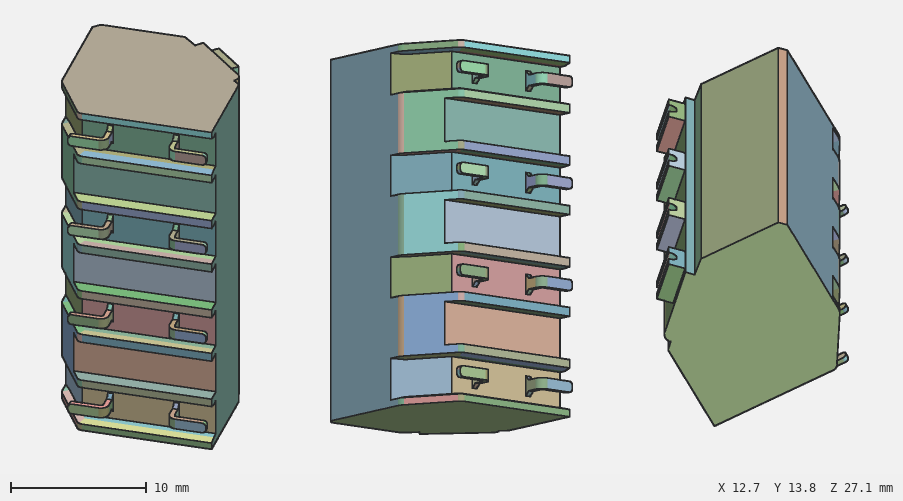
import math

import cadquery as cq

width = 12.7
depth = 12.83
height = 27.06
back_corner_chamfer = 0.5
slant_angle = math.radians(59)
slant_foot_x = 2.47
slant_top_y = slant_foot_x * math.tan(slant_angle)
slant_foot_radius = 0.5
slant_top_radius = 1.0

slope_sum = 20.87
slope_start_x = 8.48
slope_end_x = 12.1
back_edge_end_x = 6.95
notch_point = (8.0, 11.87)
lip_crest = (12.4, 8.2)
lip_root = (12.2, 7.75)
side_edge_top_y = 7.23

pole_count = 4
pitch = 7.62
floor_y = 1.14

slant_floor_top_y = 5.24
slant_pocket_depth = (slant_floor_top_y - slant_top_y) * math.cos(slant_angle)
end_pocket_width = 3.12
end_pocket_flare = 0.17
inner_pocket_width = 3.04
inner_pocket_flare = 0.05
clearance = 1.0

recess_width = 3.24

leg_thickness = 0.41
leg_width = 0.82
leg_base_width = 1.5
leg_flare = 0.34
leg_bottom_y = -0.63
leg_bend_radius = 0.62
leg_embed = 0.5
leg_tip_rounding = 0.28
left_leg_inner_x = 4.83
left_leg_tip_x = 1.86
leg_centre_x = 7.15

button_length = 3.04
button_rise = 1.25
button_width = 2.66
button_centre_x = 9.64
button_embed = 0.5
groove_radius = 0.49
groove_depth = 0.62


def pole_levels():
    return [pitch * (i - (pole_count - 1) / 2) for i in range(pole_count)]


def housing():
    outline = (
        cq.Workplane("XY", origin=(0, 0, -height / 2))
        .moveTo(slant_foot_x, 0)
        .lineTo(width, 0)
        .lineTo(width, side_edge_top_y)
        .lineTo(*lip_root)
        .threePointArc(lip_crest, (slope_end_x, slope_sum - slope_end_x))
        .lineTo(slope_start_x, slope_sum - slope_start_x)
        .lineTo(*notch_point)
        .lineTo(back_edge_end_x, depth)
        .lineTo(back_corner_chamfer, depth)
        .lineTo(0, depth - back_corner_chamfer)
        .lineTo(0, slant_top_y)
        .close()
    )
    body = outline.extrude(height)
    foot_edge = cq.selectors.NearestToPointSelector((slant_foot_x, 0, 0))
    body = body.edges(foot_edge).fillet(slant_foot_radius)
    top_edge = cq.selectors.NearestToPointSelector((0, slant_top_y, 0))
    return body.edges(top_edge).fillet(slant_top_radius)


def rail_rim(wall_side, mouth, throat):
    """Bevelled rim left standing on one pocket wall, from the outer profile to one inset all round."""
    inset = slant_pocket_depth
    slope = math.tan(slant_angle)
    right = width + clearance
    outer = [(slant_foot_x, 0), (right, 0), (right, depth), (0, depth), (0, slant_top_y)]
    inner = [
        ((slant_floor_top_y - inset) / slope, inset),
        (right, inset),
        (right, depth),
        (inset, depth),
        (inset, slant_floor_top_y - inset * slope),
    ]
    return (
        cq.Workplane("XY", origin=(0, 0, wall_side * mouth))
        .polyline(outer)
        .close()
        .workplane(offset=wall_side * (throat - mouth))
        .polyline(inner)
        .close()
        .loft(ruled=True)
    )


def pocket(level, mouth_width, flare):
    """Pocket with a slanted and a front floor, its walls bevelled around the rim."""
    mouth = mouth_width / 2
    throat = mouth - flare
    slope = math.tan(slant_angle)
    outside = (
        cq.Workplane("XY")
        .polyline(
            [
                (-clearance, slant_floor_top_y + clearance * slope),
                ((slant_floor_top_y - floor_y) / slope, floor_y),
                (width + clearance, floor_y),
                (width + clearance, -clearance),
                (-clearance, -clearance),
            ]
        )
        .close()
        .extrude(mouth, both=True)
    )
    for wall_side in (-1, 1):
        outside = outside.cut(rail_rim(wall_side, mouth, throat))
    return outside.translate((0, 0, level))


def recess(level):
    block = cq.Workplane("XY").box(
        width + 2 * clearance, floor_y + clearance, recess_width, centered=(False, False, True)
    )
    return block.translate((-clearance, -clearance, level))


def left_leg(level):
    """L-shaped strip leaving the pocket floor and bending out towards -X."""
    outer_x = left_leg_inner_x - leg_thickness
    root_y = floor_y + leg_embed
    foot_top_y = leg_bottom_y + leg_thickness
    bend_centre = (left_leg_inner_x - leg_bend_radius, leg_bottom_y + leg_bend_radius)
    inner_radius = leg_bend_radius - leg_thickness
    diagonal = math.cos(math.radians(45))
    strip = (
        cq.Workplane("XY", origin=(0, 0, level - leg_base_width / 2))
        .moveTo(left_leg_inner_x, root_y)
        .lineTo(left_leg_inner_x, bend_centre[1])
        .threePointArc(
            (bend_centre[0] + leg_bend_radius * diagonal, bend_centre[1] - leg_bend_radius * diagonal),
            (bend_centre[0], leg_bottom_y),
        )
        .lineTo(left_leg_tip_x, leg_bottom_y)
        .lineTo(left_leg_tip_x, foot_top_y)
        .lineTo(bend_centre[0], foot_top_y)
        .threePointArc(
            (bend_centre[0] + inner_radius * diagonal, bend_centre[1] - inner_radius * diagonal),
            (outer_x, bend_centre[1]),
        )
        .lineTo(outer_x, root_y)
        .close()
        .extrude(leg_base_width)
    )

    half = leg_width / 2
    half_base = leg_base_width / 2
    flare_end_y = floor_y - leg_flare
    width_outline = (
        cq.Workplane("YZ", origin=(0, 0, level))
        .polyline(
            [
                (leg_bottom_y, -half),
                (flare_end_y, -half),
                (floor_y, -half_base),
                (root_y, -half_base),
                (root_y, half_base),
                (floor_y, half_base),
                (flare_end_y, half),
                (leg_bottom_y, half),
            ]
        )
        .close()
        .extrude(width)
    )
    return strip.intersect(width_outline).edges("|Y and <X").fillet(leg_tip_rounding)


def leg_pair(level):
    left = left_leg(level)
    right = left.mirror("YZ", (leg_centre_x, 0, 0))
    return left.union(right)


def button(level):
    """Block standing on the sloping face, with a round-bottomed groove along its top."""
    slope_plane = cq.Plane(
        origin=(button_centre_x, slope_sum - button_centre_x, level), xDir=(1, -1, 0), normal=(1, 1, 0)
    )
    block = (
        cq.Workplane(slope_plane)
        .workplane(offset=-button_embed)
        .rect(button_length, button_width)
        .extrude(button_rise + button_embed)
    )
    axis_height = button_rise - groove_depth + groove_radius
    groove_round = cq.Workplane("YZ").circle(groove_radius).extrude(button_length / 2, both=True)
    groove_sides = cq.Workplane("XY").box(
        button_length, 2 * groove_radius, button_rise, centered=(True, True, False)
    )
    groove = groove_round.union(groove_sides).translate((0, 0, axis_height))
    return block.cut(cq.Workplane(groove.val().moved(cq.Location(slope_plane))))


levels = pole_levels()
result = housing()
for level in levels:
    if level in (levels[0], levels[-1]):
        result = result.cut(pocket(level, end_pocket_width, end_pocket_flare))
    else:
        result = result.cut(pocket(level, inner_pocket_width, inner_pocket_flare))
for level in levels[:-1]:
    result = result.cut(recess(level + pitch / 2))
for level in levels:
    result = result.union(leg_pair(level)).union(button(level))